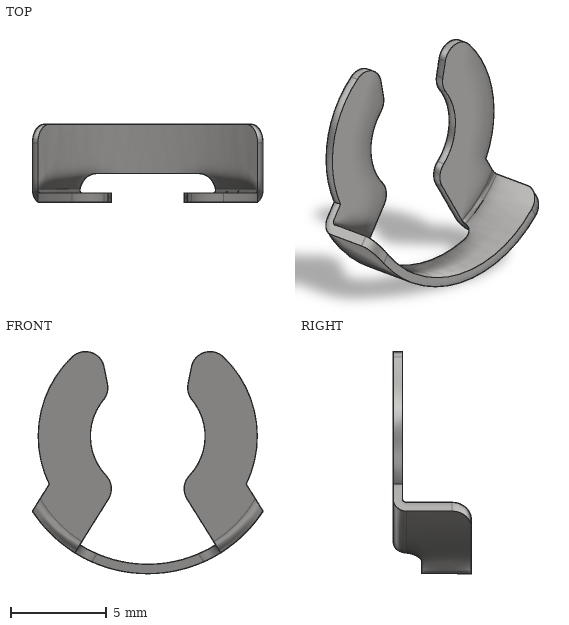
import cadquery as cq
import math

depth = 4.1
thickness = 0.5
bend_inner_radius = 0.19
bend_outer_radius = bend_inner_radius + thickness

bore_radius = 3.0
arm_radius = 5.74
wall_radius = 7.2
wall_inner_radius = wall_radius - thickness
trim_radius = 9.66

tab_angle = math.radians(58.0)
tab_width = 3.05
tab_start = 5.32
notch_depth = 1.5

corner_radius = 1.0
tip_radius = 1.0
tip_center_z = 3.43
tip_center_x = math.sqrt((arm_radius - tip_radius) ** 2 - tip_center_z ** 2)
lead_in_angle = math.radians(11.3)


def tab_point(along, across):
    """XZ point at a distance along the inner tab edge and across the tab."""
    x = along * math.cos(tab_angle) + across * math.sin(tab_angle)
    z = -along * math.sin(tab_angle) + across * math.cos(tab_angle)
    return (x, z)


def polar(radius, angle):
    return (radius * math.cos(angle), radius * math.sin(angle))


def prism(outline, length, start=0):
    """Extrude an XZ outline toward +Y, from Y = start."""
    return outline(cq.Workplane("XZ", origin=(0, start, 0))).close().extrude(-length)


def bent_sheet():
    """Flat front disc bent back into a cylindrical wall."""
    mid_bend = math.radians(45)
    bend_center_r = wall_radius - bend_outer_radius
    outer_mid = (
        bend_center_r + bend_outer_radius * math.cos(mid_bend),
        bend_outer_radius * (1 - math.sin(mid_bend)),
    )
    inner_mid = (
        bend_center_r + bend_inner_radius * math.cos(mid_bend),
        bend_outer_radius - bend_inner_radius * math.sin(mid_bend),
    )
    return (
        cq.Workplane("XY")
        .lineTo(bend_center_r, 0)
        .threePointArc(outer_mid, (wall_radius, bend_outer_radius))
        .lineTo(wall_radius, depth)
        .lineTo(wall_inner_radius, depth)
        .lineTo(wall_inner_radius, bend_outer_radius)
        .threePointArc(inner_mid, (bend_center_r, thickness))
        .lineTo(0, thickness)
        .close()
        .revolve(360, (0, 0, 0), (0, 1, 0))
    )


def arm():
    """Flat gripping arm on the +X side, with its rounded tip and bore corners."""
    slope_x, slope_z = math.sin(lead_in_angle), math.cos(lead_in_angle)
    lead_in_top = (tip_center_x - tip_radius * slope_z, tip_center_z + tip_radius * slope_x)
    projection = lead_in_top[0] * slope_x + lead_in_top[1] * slope_z
    offset_squared = lead_in_top[0] ** 2 + lead_in_top[1] ** 2 - projection ** 2
    lead_in_length = projection - math.sqrt(bore_radius ** 2 - offset_squared)
    upper_corner = (
        lead_in_top[0] - lead_in_length * slope_x,
        lead_in_top[1] - lead_in_length * slope_z,
    )
    lower_corner = tab_point(bore_radius, 0)
    arm_foot = tab_point(math.sqrt(arm_radius ** 2 - tab_width ** 2), tab_width)
    tip_start = polar(arm_radius, math.atan2(tip_center_z, tip_center_x))

    def outline(plane):
        return (
            plane.moveTo(*lower_corner)
            .lineTo(*tab_point(tab_start, 0))
            .lineTo(*tab_point(tab_start, tab_width))
            .lineTo(*arm_foot)
            .threePointArc((arm_radius, 0), tip_start)
            .threePointArc((tip_center_x, tip_center_z + tip_radius), lead_in_top)
            .lineTo(*upper_corner)
            .threePointArc((bore_radius, 0), lower_corner)
        )

    body = prism(outline, thickness)
    for x, z in (upper_corner, lower_corner):
        corner = cq.selectors.NearestToPointSelector((x, thickness / 2, z))
        body = body.edges("|Y").edges(corner).fillet(corner_radius)
    return body


def tab_and_wall_blank():
    """Block covering one tab and the half of the wall beside it."""

    def tab_outline(plane):
        return plane.polyline([
            tab_point(tab_start, 0),
            tab_point(trim_radius, 0),
            tab_point(trim_radius, tab_width),
            tab_point(tab_start, tab_width),
        ])

    def wall_outline(plane):
        return plane.polyline([
            (0, -tab_start),
            tab_point(tab_start, 0),
            tab_point(trim_radius, 0),
            (0, -trim_radius),
        ])

    tab = prism(tab_outline, depth)
    wall = prism(wall_outline, depth - notch_depth, notch_depth)
    middle = (tab_start + trim_radius) / 2
    end_x, end_z = tab_point(middle, tab_width)
    notch_x, notch_z = tab_point(middle, 0)
    end_edge = cq.selectors.NearestToPointSelector((end_x, depth, end_z))
    notch_edge = cq.selectors.NearestToPointSelector((notch_x, notch_depth, notch_z))
    tab = tab.edges(end_edge).fillet(corner_radius)
    return tab.union(wall).edges(notch_edge).fillet(corner_radius)


half = tab_and_wall_blank().intersect(bent_sheet()).union(arm())
result = half.union(half.mirror("YZ"))